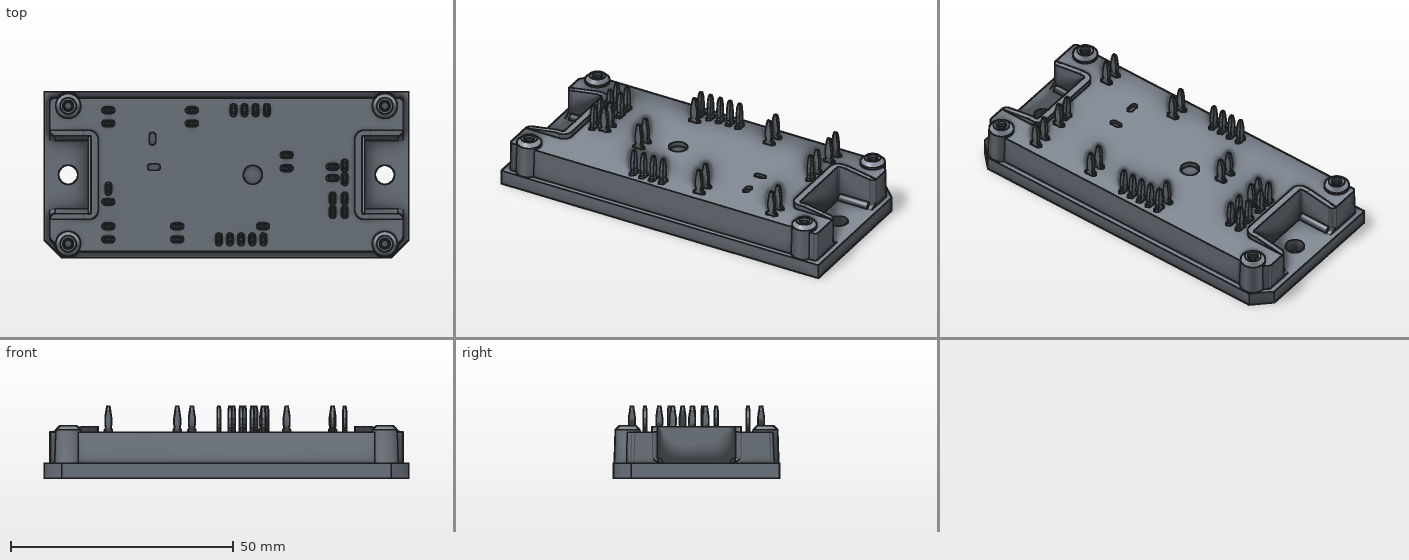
import cadquery as cq
import math

length = 82.0
width = 37.4
base_height = 3.45
corner_chamfer = 4.0
mount_hole_diameter = 4.3
mount_hole_x = 35.6

cover_length = 79.4
cover_width = 34.9
cover_top = 10.4
cover_corner_radius = 0.8
cover_chamfer = 2.9
cover_chamfer_radius = 1.0
cover_draft_degrees = 2.4
recess_diameter = 4.3
recess_depth = 1.2
recess_x = 5.9

rim_top = 11.65
rim_inner_end = 28.9
rim_half_width = 10.0
rim_corner_radius = 2.05
ramp_start = 32.2
pocket_inner_end = 30.5
pocket_half_width = 8.8
pocket_corner_radius = 0.3
arm_tip_radius = 1.15
floor_fillet = 1.15
slit_width = 0.5

boss_x = 35.6
boss_y = 15.5
boss_radius = 2.8
boss_base_radius = 3.0
boss_top = 11.9
boss_chamfer = 1.0
boss_hole_diameter = 2.4
boss_hole_depth = 1.2
boss_cone_depth = 0.4
boss_hole_floor_diameter = 1.7

slot_length = 2.9
slot_width = 1.5
slot_depth = 0.8
pin_top = 16.2
pin_foot_top = 10.8
pin_neck_height = 11.3
pin_shaft_bottom = 12.1
pin_shaft_top = 13.5
pin_tip_bottom = 15.25
pin_foot_half = 0.9
pin_neck_half = 0.6
pin_shaft_half = 0.7
pin_shoulder_half = 0.5
pin_tip_half = 0.3
pin_thickness = 0.8
pin_tip_thickness = 0.5

row_y = 14.5
second_row_y = 11.6
left_column_x = -26.6
top_pair_x = -7.8
bottom_pair_x = -11.1
middle_pair_x = 13.5
right_column_x = 26.6
right_pair_x = 23.9
top_row_x = 1.55
bottom_row_x = -1.7
bottom_row_end_x = 8.3
bottom_row_count = 5
row_pitch = (bottom_row_end_x - bottom_row_x) / (bottom_row_count - 1)
top_row_count = 4

pins_along_x = [
    (left_column_x, row_y), (left_column_x, second_row_y),
    (left_column_x, -6.1),
    (left_column_x, -second_row_y), (left_column_x, -row_y),
    (top_pair_x, row_y), (top_pair_x, second_row_y),
    (bottom_pair_x, -second_row_y), (bottom_pair_x, -row_y),
    (8.2, -second_row_y),
    (middle_pair_x, 4.4), (middle_pair_x, 1.5),
    (right_pair_x, 1.8), (right_pair_x, -0.7),
]

pins_along_y = [(left_column_x, -3.1), (right_column_x, 2.05), (right_column_x, -1.0)]
pins_along_y += [(x, y) for x in (right_pair_x, right_column_x) for y in (-5.3, -8.4)]
pins_along_y += [(top_row_x + i * row_pitch, row_y) for i in range(top_row_count)]
pins_along_y += [(bottom_row_x + i * row_pitch, -row_y) for i in range(bottom_row_count)]

empty_slots_along_x = [(-16.3, 1.7)]
empty_slots_along_y = [(-16.65, 8.1)]


def make_base():
    plate = cq.Workplane("XY").box(length, width, base_height, centered=(True, True, False))
    return plate.edges("|Z and <Y").chamfer(corner_chamfer)


def make_cover():
    """Block with leaning long walls, round corners on +Y and chamfered corners on -Y."""
    height = cover_top - base_height
    inset = height * math.tan(math.radians(cover_draft_degrees))
    half = cover_width / 2
    cover = (
        cq.Workplane("YZ")
        .moveTo(-half, base_height)
        .lineTo(half, base_height)
        .lineTo(half - inset, cover_top)
        .lineTo(inset - half, cover_top)
        .close()
        .extrude(cover_length / 2, both=True)
    )
    corner_edges = "(<X or >X) and (not |Y)"
    cover = cover.edges(corner_edges).edges(">Y").fillet(cover_corner_radius)
    cover = cover.edges(corner_edges).edges("<Y").chamfer(cover_chamfer)
    return cover.edges(corner_edges).edges("<Y").fillet(cover_chamfer_radius)


def end_block(inner_end, outer_end, half_width, bottom, top):
    """Block at the +X end, spanning both signs of Y."""
    return (
        cq.Workplane("XY", origin=((inner_end + outer_end) / 2, 0, bottom))
        .box(outer_end - inner_end, 2 * half_width, top - bottom, centered=(True, True, False))
    )


def make_rim():
    """Raised frame around the pocket; its arms ramp down to the cover at their tips."""
    cover_end = cover_length / 2
    rim = end_block(rim_inner_end, cover_end, rim_half_width, base_height, rim_top)
    rim = rim.edges("|Z and <X").fillet(rim_corner_radius)
    ramp = (
        cq.Workplane("XZ")
        .polyline([(ramp_start, rim_top), (cover_end, rim_top), (cover_end, cover_top)])
        .close()
        .extrude(rim_half_width, both=True)
    )
    return rim.cut(ramp)


def make_pocket():
    """Space cut out of the cover, with a flared mouth that rounds the arm tips."""
    cover_end = cover_length / 2
    pocket = end_block(pocket_inner_end, cover_end, pocket_half_width, base_height, rim_top)
    pocket = pocket.edges("|Z and <X").fillet(pocket_corner_radius)
    for side in (-1, 1):
        wall = side * pocket_half_width
        flare = (
            cq.Workplane("XY", origin=(0, 0, base_height))
            .moveTo(cover_end - arm_tip_radius, wall)
            .radiusArc((cover_end, wall + side * arm_tip_radius), -side * arm_tip_radius)
            .lineTo(cover_end, wall)
            .close()
            .extrude(rim_top - base_height)
        )
        pocket = pocket.union(flare)
    return pocket


def make_floor_fillet(side):
    """Concave fillet strip between the pocket floor and one side wall."""
    wall = side * pocket_half_width
    strip_start = pocket_inner_end + slit_width
    strip_end = cover_length / 2 - arm_tip_radius
    return (
        cq.Workplane("YZ", origin=(strip_start, 0, 0))
        .moveTo(wall, base_height)
        .lineTo(wall, base_height + floor_fillet)
        .radiusArc((wall - side * floor_fillet, base_height), -side * floor_fillet)
        .close()
        .extrude(strip_end - strip_start)
    )


def make_tip_fillet(side):
    """Floor fillet carried round an arm tip, ending flush with the cover."""
    cover_end = cover_length / 2
    wall = side * pocket_half_width
    ring = (
        cq.Workplane("XZ")
        .moveTo(arm_tip_radius, base_height)
        .lineTo(arm_tip_radius, base_height + floor_fillet)
        .radiusArc((arm_tip_radius + floor_fillet, base_height), -floor_fillet)
        .close()
        .revolve(360, (0, 0, 0), (0, 1, 0))
        .translate((cover_end - arm_tip_radius, wall + side * arm_tip_radius, 0))
    )
    quarter = (
        cq.Workplane("XY", origin=(cover_end - arm_tip_radius, wall - side * floor_fillet, base_height))
        .rect(arm_tip_radius, side * (floor_fillet + arm_tip_radius), centered=False)
        .extrude(floor_fillet)
    )
    return ring.intersect(quarter)


def make_boss():
    """Tapered round boss with chamfered top and a blind hole with a conical mouth."""
    hole_floor = boss_top - boss_hole_depth
    return (
        cq.Workplane("XZ")
        .moveTo(0, base_height)
        .lineTo(boss_base_radius, base_height)
        .lineTo(boss_radius, boss_top - boss_chamfer)
        .lineTo(boss_radius - boss_chamfer, boss_top)
        .lineTo(boss_hole_diameter / 2, boss_top)
        .lineTo(boss_hole_floor_diameter / 2, boss_top - boss_cone_depth)
        .lineTo(boss_hole_floor_diameter / 2, hole_floor)
        .lineTo(0, hole_floor)
        .close()
        .revolve(360, (0, 0, 0), (0, 1, 0))
    )


def mirrored_profile(half_points):
    """Closed XZ outline from its right-hand half, listed from bottom to top."""
    left = [(-x, z) for x, z in reversed(half_points)]
    return cq.Workplane("XZ").polyline(half_points + left).close()


def make_pin():
    """Flat pin with wide foot, narrow neck and pointed tip, wide side along X."""
    slot_floor = cover_top - slot_depth
    wide_half = [
        (pin_foot_half, slot_floor),
        (pin_foot_half, pin_foot_top),
        (pin_neck_half, pin_neck_height),
        (pin_shaft_half, pin_shaft_bottom),
        (pin_shaft_half, pin_shaft_top),
        (pin_shoulder_half, pin_tip_bottom),
        (pin_tip_half, pin_top),
    ]
    thin_half = [
        (pin_thickness / 2, slot_floor),
        (pin_thickness / 2, pin_tip_bottom),
        (pin_tip_thickness / 2, pin_top),
    ]
    wide = mirrored_profile(wide_half).extrude(pin_thickness, both=True)
    thin = mirrored_profile(thin_half).extrude(2 * pin_foot_half, both=True)
    return wide.intersect(thin.rotate((0, 0, 0), (0, 0, 1), 90))


def make_slots(points, angle):
    return (
        cq.Workplane("XY", origin=(0, 0, cover_top - slot_depth))
        .pushPoints(points)
        .slot2D(slot_length, slot_width, angle)
        .extrude(slot_depth)
    )


def both_ends(solid):
    """The solid together with its mirror image at the -X end."""
    return [solid, solid.mirror("YZ")]


result = make_base().union(make_cover())
for rim in both_ends(make_rim()):
    result = result.union(rim)
for pocket in both_ends(make_pocket()):
    result = result.cut(pocket)
for side in (-1, 1):
    for strip in both_ends(make_floor_fillet(side)):
        result = result.union(strip)
    for tip_fillet in both_ends(make_tip_fillet(side)):
        result = result.union(tip_fillet)

slit = end_block(pocket_inner_end, pocket_inner_end + slit_width, pocket_half_width, 0, base_height)
for slit_cut in both_ends(slit):
    result = result.cut(slit_cut)

boss = make_boss()
boss_height = boss_top - base_height
boss_space = cq.Workplane("XY", origin=(0, 0, base_height)).circle(boss_radius).extrude(boss_height)
for x in (-boss_x, boss_x):
    for y in (-boss_y, boss_y):
        result = result.cut(boss_space.translate((x, y, 0)))
        result = result.union(boss.translate((x, y, 0)))

mount_holes = (
    cq.Workplane("XY")
    .pushPoints([(-mount_hole_x, 0), (mount_hole_x, 0)])
    .circle(mount_hole_diameter / 2)
    .extrude(base_height)
)
recess = (
    cq.Workplane("XY", origin=(recess_x, 0, cover_top - recess_depth))
    .circle(recess_diameter / 2)
    .extrude(recess_depth)
)
result = result.cut(mount_holes).cut(recess)

result = result.cut(make_slots(pins_along_x + empty_slots_along_x, 0))
result = result.cut(make_slots(pins_along_y + empty_slots_along_y, 90))
pin_along_x = make_pin()
pin_along_y = pin_along_x.rotate((0, 0, 0), (0, 0, 1), 90)
for x, y in pins_along_x:
    result = result.union(pin_along_x.translate((x, y, 0)))
for x, y in pins_along_y:
    result = result.union(pin_along_y.translate((x, y, 0)))